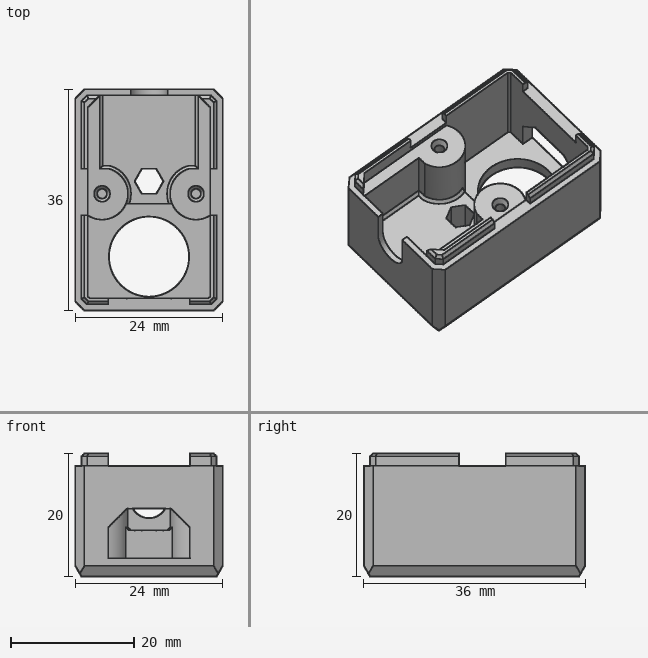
import cadquery as cq
import math

width = 24.0
length = 36.0
body_height = 18.0
corner_chamfer = 1.5
base_inset = 1.0
base_slope = math.radians(60)

lip_setback = 1.0
lip_height = 2.0
lip_chamfer = 0.5
lip_side_gap_front = -2.5

wall = 2.0
back_wall = 1.0
floor_thickness = 3.0
seat_depth = 0.72
rear_pocket_floor = 7.5
rear_pocket_width = 16.0
rear_pocket_front = 5.08
floor_step_y = -0.65
pocket_edge_chamfer = 0.5

post_x = 7.65
post_y = 1.0
post_radius = 4.2
screw_hole_diameter = 1.6
screw_countersink_diameter = 2.6
screw_countersink_depth = 1.0
screw_hole_depth = 8.0

round_hole_diameter = 13.0
round_hole_y = -9.2
round_hole_chamfer = 0.5
hex_across_flats = 4.05
hex_y = 3.02
window_width = 13.25
window_height = 8.03
window_chamfer = 3.02
slot_width = 6.0
slot_bottom = 9.5

top = body_height + lip_height
seat_z = body_height - seat_depth
front_face = -length / 2
back_face = length / 2
cavity_front = front_face + wall
cavity_back = back_face - back_wall
cavity_width = width - 2 * wall


def inset_corner(inset):
    """Corner chamfer left after the outer outline is moved inward by inset."""
    return corner_chamfer - (2 - math.sqrt(2)) * inset


def block(x_size, y_min, y_max, z_min, z_max, x_center=0):
    """Box centred on x_center, spanning the given Y and Z ranges."""
    return (
        cq.Workplane("XY", origin=(x_center, (y_min + y_max) / 2, z_min))
        .box(x_size, y_max - y_min, z_max - z_min, centered=(True, True, False))
    )


def cylinder(x, y, radius, z_min, z_max):
    return cq.Workplane("XY", origin=(x, y, z_min)).circle(radius).extrude(z_max - z_min)


def make_body():
    """Block with sloped base edges, then vertical corners cut at 45 degrees."""
    base_height = base_inset * math.tan(base_slope)
    base = (
        cq.Workplane("XY")
        .rect(width - 2 * base_inset, length - 2 * base_inset)
        .workplane(offset=base_height)
        .rect(width, length)
        .loft(ruled=True)
    )
    upper = block(width, front_face, back_face, base_height, body_height)
    envelope = block(width, front_face, back_face, 0, body_height).edges("|Z").chamfer(corner_chamfer)
    return base.union(upper).intersect(envelope)


def make_lip():
    """Chamfered rim, left only at the corners and along parts of the sides."""
    lip_front = front_face + lip_setback
    lip_back = back_face - lip_setback
    lip = (
        block(width - 2 * lip_setback, lip_front, lip_back, seat_z, top)
        .edges("|Z").chamfer(inset_corner(lip_setback))
        .faces(">Z").edges().chamfer(lip_chamfer)
    )
    side_gap = block(width, lip_side_gap_front, rear_pocket_front, body_height, top)
    front_gap = block(window_width, front_face, cavity_front, body_height, top)
    return lip.cut(side_gap).cut(front_gap)


def make_seat():
    """Shallow recess under the lid, spanning the whole interior."""
    seat = block(cavity_width, cavity_front, cavity_back, seat_z, top)
    rear_corner = (cavity_width - rear_pocket_width) / 2
    return (
        seat.edges("|Z and >Y").chamfer(rear_corner)
        .edges("|Z and <Y").chamfer(inset_corner(wall))
    )


def make_posts():
    """Round posts joined to the side walls, level with the seat."""
    shoulder_width = (width - rear_pocket_width) / 2
    shoulder_x = (rear_pocket_width + shoulder_width) / 2
    posts = cq.Workplane("XY")
    for side in (-1, 1):
        post = cylinder(side * post_x, post_y, post_radius, 0, seat_z)
        shoulder = block(shoulder_width, post_y, rear_pocket_front, 0, seat_z, side * shoulder_x)
        posts = posts.add(post.union(shoulder))
    return posts.combine()


def make_front_cavity(posts):
    cavity = block(cavity_width, cavity_front, floor_step_y, floor_thickness, seat_z)
    return cavity.edges("|Z and <Y").chamfer(inset_corner(wall)).cut(posts)


def make_rear_pocket(posts):
    """Higher-floored pocket with sloped floor edges along its sides and the posts."""
    between_posts = block(2 * post_x, floor_step_y, rear_pocket_front, rear_pocket_floor, seat_z).cut(posts)
    rear = block(rear_pocket_width, rear_pocket_front, cavity_back, rear_pocket_floor, seat_z)
    pocket = between_posts.union(rear)
    sloped_edges = pocket.faces("<Z").edges("not(<Y or >Y)")
    return sloped_edges.chamfer(pocket_edge_chamfer)


def make_screw_hole(x):
    hole = cylinder(x, post_y, screw_hole_diameter / 2, seat_z - screw_hole_depth, seat_z)
    countersink = cq.Workplane("XY").add(
        cq.Solid.makeCone(
            screw_hole_diameter / 2,
            screw_countersink_diameter / 2,
            screw_countersink_depth,
            pnt=cq.Vector(x, post_y, seat_z - screw_countersink_depth),
        )
    )
    return hole.union(countersink)


def make_round_hole():
    """Hole through the floor, flared at the underside."""
    radius = round_hole_diameter / 2
    flare = cq.Workplane("XY").add(
        cq.Solid.makeCone(
            radius + round_hole_chamfer,
            radius,
            round_hole_chamfer,
            pnt=cq.Vector(0, round_hole_y, 0),
        )
    )
    return cylinder(0, round_hole_y, radius, 0, floor_thickness).union(flare)


def make_hex_hole():
    across_corners = hex_across_flats / math.cos(math.pi / 6)
    return cq.Workplane("XY", origin=(0, hex_y, 0)).polygon(6, across_corners).extrude(rear_pocket_floor)


def make_front_window():
    """Opening through the front wall, level with the floor, upper corners cut at 45 degrees."""
    return (
        block(window_width, front_face, cavity_front, floor_thickness, floor_thickness + window_height)
        .edges("|Y and >Z").chamfer(window_chamfer)
    )


def make_back_slot():
    """Open-topped slot with a half-round bottom through the back wall."""
    arc_z = slot_bottom + slot_width / 2
    round_end = (
        cq.Workplane("XZ", origin=(0, back_face, arc_z))
        .circle(slot_width / 2).extrude(back_wall)
    )
    return round_end.union(block(slot_width, cavity_back, back_face, arc_z, top))


posts = make_posts()
result = make_body().union(make_lip())
result = result.cut(make_seat())
result = result.cut(make_front_cavity(posts))
result = result.cut(make_rear_pocket(posts))
for side in (-1, 1):
    result = result.cut(make_screw_hole(side * post_x))
result = result.cut(make_round_hole())
result = result.cut(make_hex_hole())
result = result.cut(make_front_window())
result = result.cut(make_back_slot())